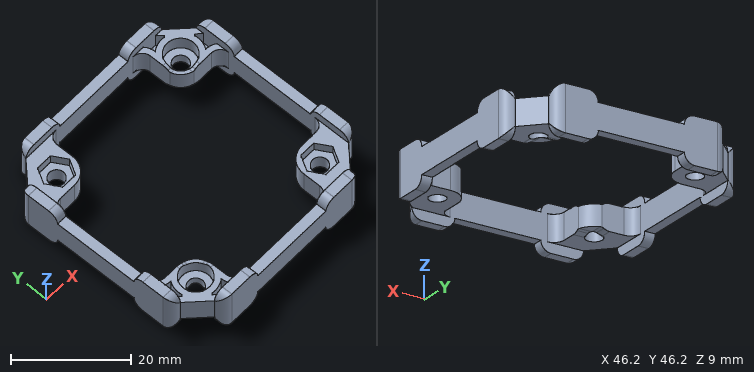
import cadquery as cq
import math

outer_half = 46.2 / 2
wall_thickness = 2.1
inner_half = outer_half - wall_thickness
web_height = 5.1

wall_half_length = 17.0
ear_height = 9.0
ear_inner_end = 8.5
ear_radius = 2.0

screw_offset = 15.5
screw_diameter = 3.2
root_radius = 2.0

nut_boss_radius = 4.0
nut_flank = nut_boss_radius
nut_across_flats = 5.6
nut_depth = 2.0

head_boss_radius = 3.8
head_flank = 3.7
head_diameter = 6.1
head_depth = 3.0
pocket_wall = 1.2
pocket_depth = 3.0
pocket_tip_radius = 0.2

rim_drop = 0.5
rim_step_start = 0.65
rim_step_length = 1.75
rim_crest_share = 0.65
rim_margin = 1.0

top_z = web_height / 2


def side_wall():
    """Wall along +Y: the elevation outline trimmed by the rounded plan outline."""
    ear_z = ear_height / 2
    elevation = cq.Workplane("XZ", origin=(0, outer_half, 0)).rect(2 * wall_half_length, web_height)
    elevation = elevation.extrude(wall_thickness)
    ear_length = wall_half_length - ear_inner_end
    for side in (-1, 1):
        ear_center = side * (wall_half_length + ear_inner_end) / 2
        ear = cq.Workplane("XZ", origin=(ear_center, outer_half, 0)).rect(ear_length, 2 * ear_z)
        ear = ear.extrude(wall_thickness).edges("|Y").fillet(ear_radius)
        elevation = elevation.union(ear)
    plan = cq.Workplane("XY", origin=(0, (outer_half + inner_half) / 2, -ear_z))
    plan = plan.rect(2 * wall_half_length, wall_thickness).extrude(ear_height)
    plan = plan.edges("|Z and >Y").fillet(ear_radius)
    return elevation.intersect(plan)


def corner_plan(boss_radius, flank, inset, bottom, height):
    """Corner of the +X +Y quadrant, its free edges moved inward by inset.

    The straight flanks lie at the given distance from the screw axis, and the nose
    between them is an arc around that axis.
    """
    boss_edge = screw_offset - flank
    root_center = (boss_edge - root_radius, inner_half - root_radius)
    reach = root_radius + inset
    root_end = root_center[0] + math.sqrt(reach**2 - root_radius**2)
    root_mid_angle = math.asin(root_radius / reach) / 2
    root_mid = (
        root_center[0] + reach * math.cos(root_mid_angle),
        root_center[1] + reach * math.sin(root_mid_angle),
    )
    edge = boss_edge + inset
    nose_radius = boss_radius - inset
    nose_mid = screw_offset - nose_radius * math.sqrt(0.5)
    nose_start = screw_offset - math.sqrt(nose_radius**2 - (flank - inset) ** 2)
    bevel_end = wall_half_length - inset * math.sqrt(2)
    return (
        cq.Workplane("XY", origin=(0, 0, bottom))
        .moveTo(root_end, inner_half)
        .threePointArc(root_mid, (edge, root_center[1]))
        .lineTo(edge, nose_start)
        .threePointArc((nose_mid, nose_mid), (nose_start, edge))
        .lineTo(root_center[1], edge)
        .threePointArc((root_mid[1], root_mid[0]), (inner_half, root_end))
        .lineTo(inner_half, bevel_end)
        .lineTo(bevel_end, inner_half)
        .close()
        .extrude(height)
    )


def screw_cylinder(diameter, bottom, height):
    """Cylinder on the screw axis of the +X +Y quadrant."""
    axis = cq.Workplane("XY", origin=(screw_offset, screw_offset, bottom))
    return axis.circle(diameter / 2).extrude(height)


def nut_corner():
    """Corner with a hexagonal nut seat, two of its corners pointing along Y."""
    corner = corner_plan(nut_boss_radius, nut_flank, 0, -top_z, web_height)
    across_corners = nut_across_flats * 2 / math.sqrt(3)
    nut = cq.Workplane("XY", origin=(screw_offset, screw_offset, top_z - nut_depth))
    nut = nut.transformed(rotate=(0, 0, 90)).polygon(6, across_corners).extrude(nut_depth)
    return corner.cut(nut).cut(screw_cylinder(screw_diameter, -top_z, web_height))


def rim_step():
    """Region above an S-shaped step down toward -X, swept along +Y from the frame centre."""
    slope = 2 * math.atan(rim_drop / rim_step_length)
    total_radius = rim_step_length / math.sin(slope)
    crest_radius = total_radius * rim_crest_share
    base_radius = total_radius - crest_radius
    start = screw_offset + rim_step_start
    end = start - rim_step_length
    floor_z = top_z - rim_drop
    sin_half = math.sin(slope / 2)
    cos_half = math.cos(slope / 2)
    crest_mid = (start - crest_radius * sin_half, top_z - crest_radius * (1 - cos_half))
    base_mid = (end + base_radius * sin_half, floor_z + base_radius * (1 - cos_half))
    joint = (start - crest_radius * math.sin(slope), top_z - crest_radius * (1 - math.cos(slope)))
    far = screw_offset - head_boss_radius - rim_margin
    return (
        cq.Workplane("XZ")
        .moveTo(start, top_z)
        .threePointArc(crest_mid, joint)
        .threePointArc(base_mid, (end, floor_z))
        .lineTo(far, floor_z)
        .lineTo(far, top_z)
        .close()
        .extrude(-outer_half)
    )


def swap_xy(body):
    """Mirror a body across the diagonal plane X = Y."""
    return body.mirror("YZ").rotate((0, 0, 0), (0, 0, 1), -90)


def wall_pocket():
    """Blind pocket beside the +Y wall, between the screw head seat, bevel and root fillet."""
    floor_z = top_z - pocket_depth
    pockets = corner_plan(head_boss_radius, head_flank, pocket_wall, floor_z, pocket_depth)
    pockets = pockets.cut(screw_cylinder(head_diameter + 2 * pocket_wall, floor_z, pocket_depth))
    pocket = cq.Workplane(pockets.solids(">Y").val())
    return pocket.edges("|Z and >X").fillet(pocket_tip_radius)


def head_corner():
    """Corner with a round screw head seat, two wall pockets and a thinned nose."""
    corner = corner_plan(head_boss_radius, head_flank, 0, -top_z, web_height)
    step = rim_step()
    lowered_rim = step.intersect(swap_xy(step))
    corner = corner.cut(lowered_rim).cut(lowered_rim.mirror("XY"))
    pocket = wall_pocket()
    corner = corner.cut(pocket).cut(swap_xy(pocket))
    corner = corner.cut(screw_cylinder(head_diameter, top_z - head_depth, head_depth))
    return corner.cut(screw_cylinder(screw_diameter, -top_z, web_height))


def turned(body, quarter_turns):
    """Turn a body about the frame axis Z by whole quarter turns."""
    return body.rotate((0, 0, 0), (0, 0, 1), 90 * quarter_turns)


wall = side_wall()
result = wall
for quarter in range(1, 4):
    result = result.union(turned(wall, quarter))

for quarter in (0, 2):
    result = result.union(turned(head_corner(), quarter))
    result = result.union(turned(nut_corner(), quarter + 1))